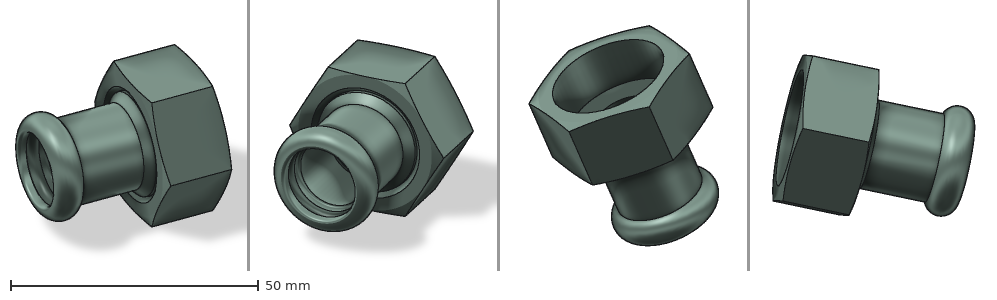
import cadquery as cq
import math

TOTAL_LENGTH = 36.4

NUT_ACROSS_FLATS = 30.0
NUT_LENGTH = 15.0
NUT_CHAMFER_ANGLE = 15.0
NUT_MOUTH_RADIUS = 24.4 / 2
NUT_NECK_RADIUS = 22.2 / 2
NUT_THREAD_RADIUS = 24.0 / 2
NUT_LIP_LENGTH = 3.0

TUBE_RADIUS = 18.3 / 2
BEAD_RADIUS = 11.35
BEAD_LENGTH = 6.4
BEAD_FRONT_RADIUS = 8.55
FLARE_START = 20.0
COLLAR_RADIUS = 22.0 / 2
FLANGE_RADIUS = NUT_THREAD_RADIUS
FLANGE_THICKNESS = 2.0

LIP_RADIUS = 15.7 / 2
GROOVE_START = 1.9
GROOVE_END = 4.7
GROOVE_DEPTH = (GROOVE_END - GROOVE_START) / 2
LEAD_IN_START = 5.8
SOCKET_RADIUS = 14.5 / 2
SOCKET_DEPTH = 20.02
BORE_RADIUS = 12.6 / 2
BORE_CHAMFER = 0.45

NUT_START = TOTAL_LENGTH - NUT_LENGTH
SHOULDER = NUT_START + NUT_LIP_LENGTH


def revolve_about_y(profile):
    """Turn a closed (radius, y) outline fully about the Y axis."""
    return profile.close().revolve(360, (0, 0, 0), (0, 1, 0))


def make_nut():
    corner_radius = NUT_ACROSS_FLATS / 2 / math.cos(math.radians(30))
    flat_radius = NUT_ACROSS_FLATS / 2
    chamfer = (corner_radius - flat_radius) * math.tan(math.radians(NUT_CHAMFER_ANGLE))
    mouth_chamfer = NUT_MOUTH_RADIUS - NUT_NECK_RADIUS

    hexagon = (
        cq.Workplane("XZ", origin=(0, NUT_START, 0))
        .polygon(6, 2 * corner_radius)
        .extrude(-NUT_LENGTH)
    )
    turned_blank = revolve_about_y(
        cq.Workplane("XY")
        .moveTo(NUT_MOUTH_RADIUS, NUT_START)
        .lineTo(flat_radius, NUT_START)
        .lineTo(corner_radius, NUT_START + chamfer)
        .lineTo(corner_radius, TOTAL_LENGTH - chamfer)
        .lineTo(flat_radius, TOTAL_LENGTH)
        .lineTo(NUT_THREAD_RADIUS, TOTAL_LENGTH)
        .lineTo(NUT_THREAD_RADIUS, SHOULDER)
        .lineTo(NUT_NECK_RADIUS, SHOULDER)
        .lineTo(NUT_NECK_RADIUS, NUT_START + mouth_chamfer)
    )
    return hexagon.intersect(turned_blank)


def make_fitting():
    bead_middle = BEAD_LENGTH / 2
    lip_round = BEAD_FRONT_RADIUS - LIP_RADIUS
    round_offset = lip_round * math.sqrt(0.5)
    groove_middle = (GROOVE_START + GROOVE_END) / 2
    lead_in_round = LIP_RADIUS - SOCKET_RADIUS
    lead_in_offset = lead_in_round * math.sqrt(0.5)
    lead_in_end = LEAD_IN_START + lead_in_round
    flange_end = SHOULDER + FLANGE_THICKNESS
    bore_mouth = BORE_RADIUS + BORE_CHAMFER

    return revolve_about_y(
        cq.Workplane("XY")
        .moveTo(BEAD_FRONT_RADIUS, 0)
        .threePointArc((BEAD_RADIUS, bead_middle), (TUBE_RADIUS, BEAD_LENGTH))
        .lineTo(TUBE_RADIUS, FLARE_START)
        .lineTo(COLLAR_RADIUS, FLARE_START + COLLAR_RADIUS - TUBE_RADIUS)
        .lineTo(COLLAR_RADIUS, SHOULDER)
        .lineTo(FLANGE_RADIUS, SHOULDER)
        .lineTo(FLANGE_RADIUS, flange_end)
        .lineTo(BORE_RADIUS, flange_end)
        .lineTo(BORE_RADIUS, SOCKET_DEPTH + BORE_CHAMFER)
        .lineTo(bore_mouth, SOCKET_DEPTH)
        .lineTo(SOCKET_RADIUS, SOCKET_DEPTH)
        .lineTo(SOCKET_RADIUS, lead_in_end)
        .threePointArc(
            (SOCKET_RADIUS + lead_in_offset, LEAD_IN_START + lead_in_offset),
            (LIP_RADIUS, LEAD_IN_START),
        )
        .lineTo(LIP_RADIUS, GROOVE_END)
        .threePointArc((LIP_RADIUS + GROOVE_DEPTH, groove_middle), (LIP_RADIUS, GROOVE_START))
        .lineTo(LIP_RADIUS, lip_round)
        .threePointArc(
            (BEAD_FRONT_RADIUS - round_offset, lip_round - round_offset),
            (BEAD_FRONT_RADIUS, 0),
        )
    )


nut = make_nut()
fitting = make_fitting()
result = cq.Compound.makeCompound([nut.val(), fitting.val()])